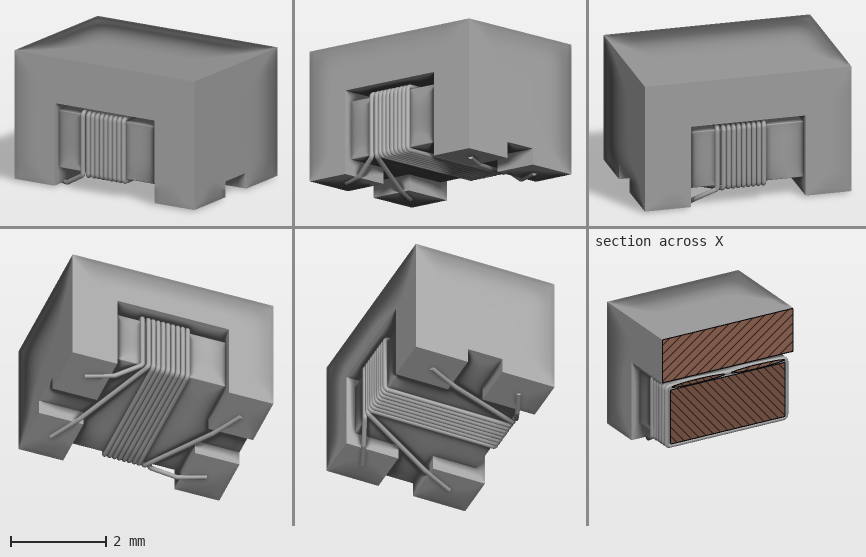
import cadquery as cq
import math

LENGTH = 4.5
DEPTH = 3.2
CAP_HEIGHT = 1.0

FLANGE_LENGTH = 1.0
FLANGE_HEIGHT = 1.65
BAR_RECESS = 0.2
BAR_EDGE_RADIUS = 0.022
NOTCH_WIDTH = 0.8
NOTCH_HEIGHT = BAR_RECESS

PAD_HEIGHT = 0.15
PAD_DEPTH = (DEPTH - NOTCH_WIDTH) / 2

WIRE_DIAMETER = 0.1
WIRE_GAP = 0.005
BEND_RADIUS = BAR_EDGE_RADIUS + WIRE_GAP + WIRE_DIAMETER / 2
STRAND_GAP = 0.011
TURN_PITCH = WIRE_DIAMETER + STRAND_GAP
INNER_STRANDS = 8
OUTER_STRAND_X = 0.63
NEAR_LEAD_BEND_X = 1.165
FAR_LEAD_BEND_Y = 0.28

FLANGE_TOP = PAD_HEIGHT + FLANGE_HEIGHT
FLANGE_X = (LENGTH - FLANGE_LENGTH) / 2
PAD_Y = (DEPTH - PAD_DEPTH) / 2
BAR_DEPTH = DEPTH - 2 * BAR_RECESS
BAR_BOTTOM = PAD_HEIGHT + BAR_RECESS
BAR_TOP = FLANGE_TOP - BAR_RECESS
WIRE_OFFSET = WIRE_GAP + WIRE_DIAMETER / 2
STRAND_Y = BAR_DEPTH / 2 + WIRE_OFFSET
STRAND_TOP = BAR_TOP + WIRE_OFFSET
STRAND_BOTTOM = BAR_BOTTOM - WIRE_OFFSET
FIRST_STRAND_X = -(INNER_STRANDS - 1) / 2 * TURN_PITCH
SECOND_LEAD_X = -FIRST_STRAND_X + TURN_PITCH


def box_on(length, depth, height, x, y, z):
    """Box centred on (x, y) with its underside at z."""
    return cq.Workplane("XY").box(length, depth, height, centered=(True, True, False)).translate((x, y, z))


def make_cap():
    return box_on(LENGTH, DEPTH, CAP_HEIGHT, 0, 0, FLANGE_TOP)


def make_core():
    core = box_on(LENGTH - FLANGE_LENGTH, BAR_DEPTH, BAR_TOP - BAR_BOTTOM, 0, 0, BAR_BOTTOM)
    core = core.edges("|X").fillet(BAR_EDGE_RADIUS)
    for side in (-1, 1):
        flange = box_on(FLANGE_LENGTH, DEPTH, FLANGE_HEIGHT, side * FLANGE_X, 0, PAD_HEIGHT)
        notch = box_on(FLANGE_LENGTH, NOTCH_WIDTH, NOTCH_HEIGHT, side * FLANGE_X, 0, PAD_HEIGHT)
        core = core.union(flange.cut(notch))
    return core


def near_lead(strand_x):
    """Points of a lead from its pad centre to a strand on the same side, at the left front."""
    pad_centre = cq.Vector(-FLANGE_X, -PAD_Y, 0)
    fraction = (FLANGE_X - NEAR_LEAD_BEND_X) / (FLANGE_X + strand_x)
    bend = pad_centre + cq.Vector(strand_x + FLANGE_X, PAD_Y - STRAND_Y, 0) * fraction
    return [pad_centre, bend]


def far_lead(strand_x):
    """Points of a lead from the left back pad centre to a strand at the left front."""
    pad_centre = cq.Vector(-FLANGE_X, PAD_Y, 0)
    fraction = (PAD_Y - FAR_LEAD_BEND_Y) / (PAD_Y + STRAND_Y)
    bend = pad_centre + cq.Vector(strand_x + FLANGE_X, -PAD_Y - STRAND_Y, 0) * fraction
    return [pad_centre, bend]


def half_turn(points):
    """The points turned 180 degrees about Z, in reverse order."""
    return [cq.Vector(-p.x, -p.y, p.z) for p in reversed(points)]


def coil(front_xs, back_xs):
    """Corner points of turns that rise in front, cross over the bar, and return under it."""
    points = []
    for front_x, back_x in zip(front_xs, back_xs):
        points += [
            cq.Vector(front_x, -STRAND_Y, STRAND_BOTTOM),
            cq.Vector(front_x, -STRAND_Y, STRAND_TOP),
            cq.Vector(back_x, STRAND_Y, STRAND_TOP),
            cq.Vector(back_x, STRAND_Y, STRAND_BOTTOM),
        ]
    return points


def rounded_path(points):
    """Wire path through the points with every corner rounded to the bend radius."""
    edges = []
    start = points[0]
    for before, corner, after in zip(points, points[1:], points[2:]):
        to_before = (before - corner).normalized()
        to_after = (after - corner).normalized()
        half_angle = to_before.getAngle(to_after) / 2
        bisector = (to_before + to_after).normalized()
        tangent_length = BEND_RADIUS / math.tan(half_angle)
        arc_start = corner + to_before * tangent_length
        arc_end = corner + to_after * tangent_length
        arc_middle = corner + bisector * (BEND_RADIUS / math.sin(half_angle) - BEND_RADIUS)
        edges.append(cq.Edge.makeLine(start, arc_start))
        edges.append(cq.Edge.makeThreePointArc(arc_start, arc_middle, arc_end))
        start = arc_end
    edges.append(cq.Edge.makeLine(start, points[-1]))
    return cq.Wire.assembleEdges(edges)


def make_wire(points):
    section = cq.Workplane(cq.Plane(origin=points[0], normal=points[1] - points[0]))
    return section.circle(WIRE_DIAMETER / 2).sweep(cq.Workplane(rounded_path(points)))


def make_wires():
    strand_xs = [FIRST_STRAND_X + i * TURN_PITCH for i in range(INNER_STRANDS)]
    even_xs = strand_xs[0::2]
    odd_xs = strand_xs[1::2]
    near = near_lead(-OUTER_STRAND_X)
    far = far_lead(-SECOND_LEAD_X)
    front_points = near + coil([-OUTER_STRAND_X] + even_xs, even_xs + [SECOND_LEAD_X]) + half_turn(far)
    back_points = far + coil([-SECOND_LEAD_X] + odd_xs, odd_xs + [OUTER_STRAND_X]) + half_turn(near)
    return [make_wire(front_points), make_wire(back_points)]


def make_pad(x_side, y_side, wire):
    """Solder pad with a half-round groove in its underside that seats the wire end."""
    pad = box_on(FLANGE_LENGTH, PAD_DEPTH, PAD_HEIGHT, x_side * FLANGE_X, y_side * PAD_Y, 0)
    return pad.cut(wire)


cap = make_cap()
core = make_core()
wires = make_wires()
pads = [make_pad(x_side, y_side, wire) for y_side, wire in zip((-1, 1), wires) for x_side in (-1, 1)]

result = cq.Compound.makeCompound([
    cap.val(),
    core.val(),
    *[pad.val() for pad in pads],
    *[wire.val() for wire in wires],
])